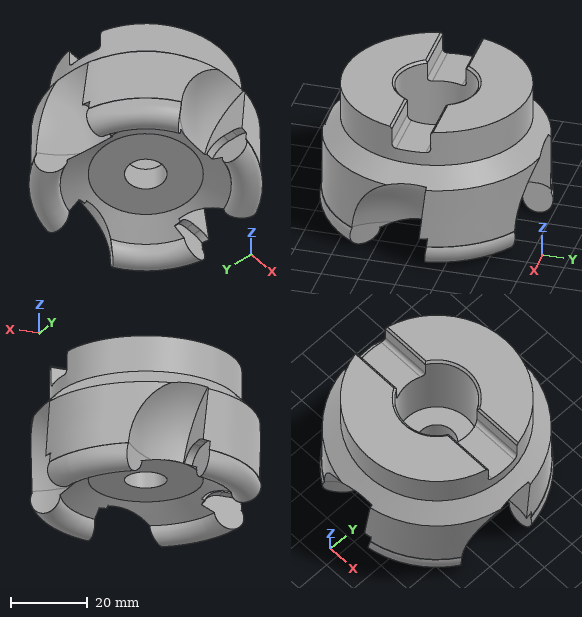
import cadquery as cq
import math

height = 38.1
hub_base_z = 28.1
shoulder_z = 23.2
body_base_z = 6.1
web_z = 7.8
bore_floor_z = 15.0

outer_radius = 30.4
hub_radius = 25.1
shoulder_radius = 29.8
body_base_radius = 30.0
bore_radius = 10.9
bore_chamfer = 0.65
screw_hole_radius = 5.5

lip_radius = 4.1
lip_center_radius = outer_radius - lip_radius
lip_inner_radius = lip_center_radius - lip_radius
underside_angle = 27.0
web_radius = lip_inner_radius - (web_z - lip_radius) / math.tan(math.radians(underside_angle))

slot_width = 10.45
slot_depth = 6.25
slot_floor_fillet = 1.2
slot_edge_chamfer = 0.6

pocket_count = 4
pocket_tilt = 6.5
pocket_radius = 22.5
pocket_center = (1.7, -39.6, 4.45)
tooth_face_offset = 1.4
pocket_reach = 2 * pocket_radius

seat_radius = 5.7
seat_depth = 2.15
seat_inward_run = 3.0


def make_body():
    """Revolved hub, shoulder, body and round lip, hollow underneath."""
    lip_side = math.sqrt(lip_radius**2 - (body_base_z - lip_radius) ** 2)
    return (
        cq.Workplane("XZ")
        .moveTo(0, web_z)
        .lineTo(0, height)
        .lineTo(hub_radius, height)
        .lineTo(hub_radius, hub_base_z)
        .lineTo(shoulder_radius, shoulder_z)
        .lineTo(body_base_radius, body_base_z)
        .lineTo(lip_center_radius + lip_side, body_base_z)
        .threePointArc((outer_radius, lip_radius), (lip_center_radius, 0))
        .threePointArc(
            (lip_center_radius - lip_radius / math.sqrt(2), lip_radius - lip_radius / math.sqrt(2)),
            (lip_inner_radius, lip_radius),
        )
        .lineTo(web_radius, web_z)
        .close()
        .revolve(360, (0, 0), (0, 1))
    )


def make_bore():
    """Stepped, chamfered bore along the cutter axis."""
    return (
        cq.Workplane("XZ")
        .lineTo(screw_hole_radius, 0)
        .lineTo(screw_hole_radius, bore_floor_z)
        .lineTo(bore_radius, bore_floor_z)
        .lineTo(bore_radius, height - bore_chamfer)
        .lineTo(bore_radius + bore_chamfer, height)
        .lineTo(0, height)
        .close()
        .revolve(360, (0, 0), (0, 1))
    )


def make_slot():
    """Driving slot along X with rounded floor corners and chamfered top edges."""
    length = 2 * outer_radius
    floor_z = height - slot_depth
    channel = (
        cq.Workplane("XY", origin=(0, 0, floor_z))
        .rect(length, slot_width)
        .extrude(slot_depth)
        .edges("|X and <Z")
        .fillet(slot_floor_fillet)
    )
    half_width = slot_width / 2
    half_mouth = half_width + slot_edge_chamfer
    mouth = (
        cq.Workplane("YZ", origin=(-outer_radius, 0, 0))
        .polyline([
            (-half_width, height - slot_edge_chamfer),
            (half_width, height - slot_edge_chamfer),
            (half_mouth, height),
            (-half_mouth, height),
        ])
        .close()
        .extrude(length)
    )
    return channel.union(mouth)


def make_pocket():
    """Ball-ended pocket leaning with the tooth face, plus the insert seat."""
    ball = cq.Workplane("XY").sphere(pocket_radius)
    shank = cq.Workplane("XY").circle(pocket_radius).extrude(-pocket_reach)
    tooth_side = (
        cq.Workplane("XY")
        .box(pocket_reach, 2 * pocket_reach, 3 * pocket_reach)
        .translate((tooth_face_offset - pocket_reach / 2, 0, 0))
    )
    seat_y = -lip_center_radius - pocket_center[1] + seat_inward_run / 2
    seat_z = lip_radius - pocket_center[2]
    seat = (
        cq.Workplane("YZ", origin=(tooth_face_offset, seat_y, seat_z))
        .slot2D(seat_inward_run + 2 * seat_radius, 2 * seat_radius)
        .extrude(seat_depth)
    )
    seat_run_out = (
        cq.Workplane("XY", origin=(tooth_face_offset + seat_depth / 2, seat_y, seat_z))
        .rect(seat_depth, seat_inward_run + 2 * seat_radius)
        .extrude(-pocket_reach)
    )
    return (
        ball.union(shank)
        .intersect(tooth_side)
        .union(seat)
        .union(seat_run_out)
        .rotate((0, 0, 0), (0, 1, 0), pocket_tilt)
        .translate(pocket_center)
    )


result = make_body().cut(make_bore()).cut(make_slot())
pocket = make_pocket()
for index in range(pocket_count):
    result = result.cut(pocket.rotate((0, 0, 0), (0, 0, 1), index * 360 / pocket_count))